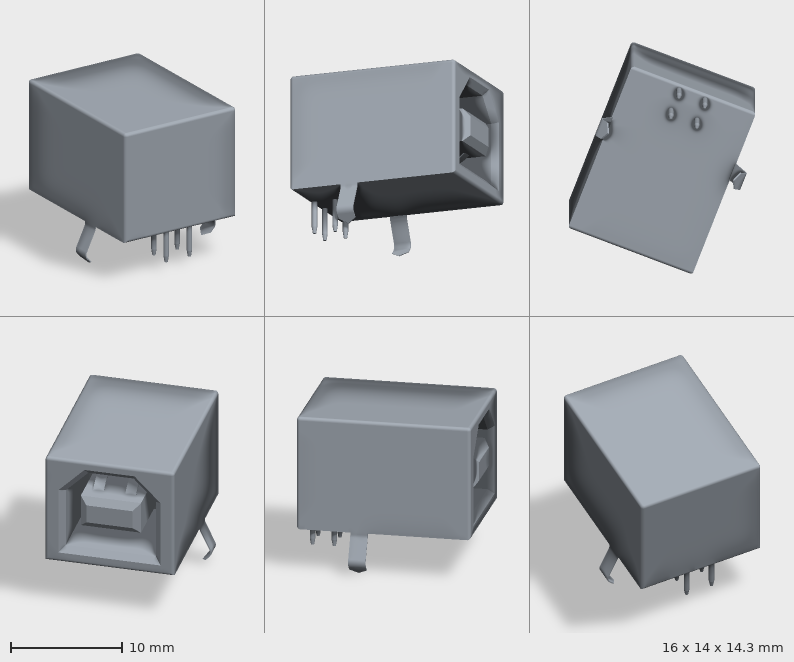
import cadquery as cq
import math

LENGTH = 16.0
WIDTH = 12.0
HEIGHT = 10.6
EDGE_RADIUS = 0.3
FRONT_X = -LENGTH / 2

CAVITY_WIDTH = 8.4
CAVITY_FLOOR_Z = 1.5
CAVITY_ROOF_Z = 9.25
CAVITY_CORNER = 2.1
CAVITY_DEPTH = 9.0
MOUTH_BEVEL = 0.55

TONGUE_WIDTH = 5.6
TONGUE_HEIGHT = 3.05
TONGUE_MID_Z = 5.3
TONGUE_BEVEL_INSET = 0.65
TONGUE_BEVEL_LENGTH = 0.52

CONTACT_WIDTH = 1.0
CONTACT_PITCH = 3.0
CONTACT_THICKNESS = 0.1
CONTACT_RISE = 1.05
CONTACT_SETBACK = 1.8
CONTACT_SPAN = 5.0

PIN_RADIUS = 0.25
PIN_TIP_RADIUS = 0.15
PIN_LENGTH = 2.95
PIN_TIP_LENGTH = 0.6
PIN_ROWS_X = (5.5, 7.5)
PIN_PITCH_Y = 2.5

CLIP_X = 2.25
CLIP_WIDTH = 1.6
CLIP_THICKNESS = 0.1
CLIP_DROP = 3.74
CLIP_POINT_HEIGHT = 0.4
CLIP_NECK = 0.3
CLIP_KNEE_Y = 7.07
CLIP_KNEE_Z = -2.65
CLIP_END_Y = 5.98
CLIP_END_Z = -3.8
CLIP_BEND_RADIUS = 0.6


def cavity_outline(x, growth):
    """Closed wire of the cavity section at x, grown outward by a distance."""
    half = CAVITY_WIDTH / 2 + growth
    floor = CAVITY_FLOOR_Z - growth
    roof = CAVITY_ROOF_Z + growth
    corner = CAVITY_CORNER + growth * (2 - math.sqrt(2))
    points = [
        (-half, floor),
        (half, floor),
        (half, roof - corner),
        (half - corner, roof),
        (corner - half, roof),
        (-half, roof - corner),
    ]
    return cq.Wire.makePolygon([cq.Vector(x, y, z) for y, z in points], close=True)


def make_block():
    block = cq.Workplane("XY").box(LENGTH, WIDTH, HEIGHT, centered=(True, True, False))
    rounded = block.edges("|Z or |Y or (|X and >Z)")
    return rounded.fillet(EDGE_RADIUS)


def make_cavity():
    straight = cq.Solid.extrudeLinear(cavity_outline(FRONT_X, 0), [], cq.Vector(CAVITY_DEPTH, 0, 0))
    mouth = cq.Solid.makeLoft(
        [cavity_outline(FRONT_X, MOUTH_BEVEL), cavity_outline(FRONT_X + MOUTH_BEVEL, 0)], True
    )
    return cq.Workplane(straight).union(cq.Workplane(mouth))


def make_tongue():
    bevel_x = FRONT_X + TONGUE_BEVEL_LENGTH
    shank = (
        cq.Workplane("YZ", origin=(bevel_x, 0, TONGUE_MID_Z))
        .rect(TONGUE_WIDTH, TONGUE_HEIGHT)
        .extrude(CAVITY_DEPTH - TONGUE_BEVEL_LENGTH)
    )
    nose = (
        cq.Workplane("YZ", origin=(FRONT_X, 0, TONGUE_MID_Z))
        .rect(TONGUE_WIDTH - 2 * TONGUE_BEVEL_INSET, TONGUE_HEIGHT - 2 * TONGUE_BEVEL_INSET)
        .workplane(offset=TONGUE_BEVEL_LENGTH)
        .rect(TONGUE_WIDTH, TONGUE_HEIGHT)
        .loft(ruled=True)
    )
    return shank.union(nose)


def make_contact(y, side):
    """Arched strip on the upper (side = 1) or lower (side = -1) tongue face."""
    half_span = CONTACT_SPAN / 2
    outer_radius = (half_span**2 + CONTACT_RISE**2) / (2 * CONTACT_RISE)
    ring_z = TONGUE_MID_Z + side * (TONGUE_HEIGHT / 2 + CONTACT_RISE - outer_radius)
    mid_x = FRONT_X + CONTACT_SETBACK + half_span
    ring = (
        cq.Workplane("XZ", origin=(mid_x, y, ring_z))
        .circle(outer_radius)
        .circle(outer_radius - CONTACT_THICKNESS)
        .extrude(CONTACT_WIDTH / 2, both=True)
    )
    keep_height = CONTACT_RISE + CONTACT_THICKNESS
    keep_z = TONGUE_MID_Z + side * (TONGUE_HEIGHT / 2 + CONTACT_RISE - keep_height / 2)
    keep = cq.Workplane("XY", origin=(mid_x, y, keep_z)).box(2 * CONTACT_SPAN, CONTACT_WIDTH, keep_height)
    return ring.intersect(keep)


def make_pin(x, y):
    """Round pin hanging from the bottom face, with a tapered tip."""
    shank_length = PIN_LENGTH - PIN_TIP_LENGTH
    down = cq.Vector(0, 0, -1)
    shank = cq.Solid.makeCylinder(PIN_RADIUS, shank_length, cq.Vector(x, y, 0), down)
    tip = cq.Solid.makeCone(
        PIN_RADIUS, PIN_TIP_RADIUS, PIN_TIP_LENGTH, cq.Vector(x, y, -shank_length), down
    )
    return cq.Workplane(shank).union(cq.Workplane(tip))


def make_housing():
    housing = make_block().cut(make_cavity()).union(make_tongue())
    for y in (-CONTACT_PITCH / 2, CONTACT_PITCH / 2):
        for side in (1, -1):
            housing = housing.union(make_contact(y, side))
    for x in PIN_ROWS_X:
        for y in (-PIN_PITCH_Y / 2, PIN_PITCH_Y / 2):
            housing = housing.union(make_pin(x, y))
    return housing


def make_clip():
    """Bent clip under the +Y wall: out to a knee, then back in to a point."""
    strip_y = WIDTH / 2 - CLIP_THICKNESS / 2
    bends = [
        (strip_y, 0),
        (strip_y, -CLIP_NECK),
        (CLIP_KNEE_Y, CLIP_KNEE_Z),
        (CLIP_END_Y, CLIP_END_Z),
    ]
    corners = [cq.Vector(CLIP_X, y, z) for y, z in bends]
    center_line = cq.Wire.makePolygon(corners).fillet(CLIP_BEND_RADIUS)
    strip = (
        cq.Workplane("XY", origin=(CLIP_X, strip_y, 0))
        .rect(CLIP_WIDTH, CLIP_THICKNESS)
        .sweep(cq.Workplane(center_line))
    )
    half_width = CLIP_WIDTH / 2
    shoulder_z = CLIP_POINT_HEIGHT - CLIP_DROP
    pointed = (
        cq.Workplane("XZ", origin=(CLIP_X, 0, 0))
        .polyline([(-half_width, 0), (-half_width, shoulder_z), (0, -CLIP_DROP),
                   (half_width, shoulder_z), (half_width, 0)])
        .close()
        .extrude(-WIDTH)
    )
    return strip.intersect(pointed)


housing = make_housing()
left_clip = make_clip()
clips = [left_clip, left_clip.mirror("XZ")]
result = cq.Compound.makeCompound([housing.val(), *[clip.val() for clip in clips]])